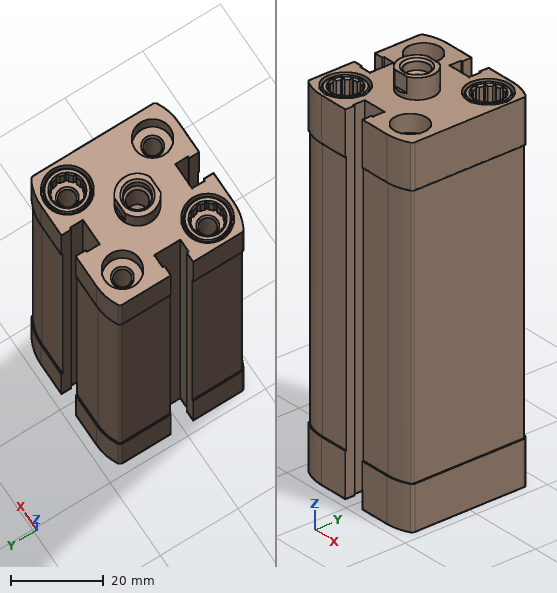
import cadquery as cq
import math

side = 35.5
total_height = 102.5
housing_height = 97.0
cap_height = 12.0
tube_inset = 0.3

arc_radius = 13.1
arc_start_x = 11.1
blend_radius = 1.0

slot_mouth_width = 5.7
slot_inner_width = 6.7
slot_lip_depth = 2.6
slot_depth = 5.8
slot_angles = (90, 180, 270)

hole_offset = 11.0
hole_diameter = 4.1
hole_mouth_diameter = 5.0
counterbore_diameter = 9.0
counterbore_depth = 4.7

recess_diameter = 11.5
recess_depth = counterbore_depth
head_diameter = 10.5
head_top_diameter = 9.8
head_drop = 0.2
head_chamfer_height = 0.4
socket_mouth_diameter = 8.3
socket_diameter = 7.5
socket_chamfer_height = 0.5
socket_depth = 4.5
square_count = 3

rod_diameter = 10.0
rod_seat_depth = cap_height
flat_to_flat = 9.1
flat_height = 4.1
ledge_slope_angle = 30.0
bore_mouth_diameter = 7.5
bore_diameter = 6.4
bore_depth = 2.8
thread_bore_diameter = 5.0
thread_bore_depth = 12.3
drill_tip_angle = 118.0


def disc(diameter, bottom, top, x=0.0, y=0.0):
    return cq.Workplane("XY", origin=(x, y, bottom)).circle(diameter / 2).extrude(top - bottom)


def cone(bottom_diameter, top_diameter, bottom, top, x=0.0, y=0.0):
    solid = cq.Solid.makeCone(bottom_diameter / 2, top_diameter / 2, top - bottom, pnt=cq.Vector(x, y, bottom))
    return cq.Workplane(obj=solid)


def outline_prism(inset, bottom, top):
    """Square bar with broadly rounded corners, every side moved inwards by the inset."""
    half = side / 2 - inset
    radius = arc_radius - inset
    centre_y = half - radius
    reach = half - arc_start_x
    arc_end_y = centre_y + math.sqrt(radius**2 - reach**2)
    mid_angle = (math.pi / 2 + math.asin((arc_end_y - centre_y) / radius)) / 2
    mid_x = arc_start_x + radius * math.cos(mid_angle)
    mid_y = centre_y + radius * math.sin(mid_angle)
    return (
        cq.Workplane("XY", origin=(0, 0, bottom))
        .moveTo(-arc_start_x, half)
        .lineTo(arc_start_x, half)
        .threePointArc((mid_x, mid_y), (half, arc_end_y))
        .lineTo(half, -arc_end_y)
        .threePointArc((mid_x, -mid_y), (arc_start_x, -half))
        .lineTo(-arc_start_x, -half)
        .threePointArc((-mid_x, -mid_y), (-half, -arc_end_y))
        .lineTo(-half, arc_end_y)
        .threePointArc((-mid_x, mid_y), (-arc_start_x, half))
        .close()
        .extrude(top - bottom)
        .edges("|Z")
        .edges("<X or >X")
        .fillet(blend_radius - inset)
    )


def slot_cutter(angle):
    """T-slot along the full housing, on the side that faces the given angle from +X."""
    outer_x = side / 2
    lip_x = outer_x - slot_lip_depth
    floor_x = outer_x - slot_depth
    half_profile = [
        (outer_x, slot_mouth_width / 2),
        (lip_x, slot_mouth_width / 2),
        (lip_x, slot_inner_width / 2),
        (floor_x, slot_inner_width / 2),
    ]
    mirrored = [(x, -y) for x, y in reversed(half_profile)]
    cutter = cq.Workplane("XY").polyline(half_profile + mirrored).close().extrude(housing_height)
    return cutter.rotate((0, 0, 0), (0, 0, 1), angle)


def through_hole_cutter(x, y, start_z):
    """Hole from the bottom face up to start_z, where it opens in a countersink."""
    mouth_depth = (hole_mouth_diameter - hole_diameter) / 2
    mouth = cone(hole_diameter, hole_mouth_diameter, start_z - mouth_depth, start_z, x, y)
    return disc(hole_diameter, 0, start_z, x, y).union(mouth)


def counterbored_cutter(x, y):
    floor_z = housing_height - counterbore_depth
    return through_hole_cutter(x, y, floor_z).union(disc(counterbore_diameter, floor_z, housing_height, x, y))


def socket_cutter(x, y, top_z):
    """Chamfered twelve-point socket: a round bore with V-grooves at the corners of the squares."""
    floor_z = top_z - socket_depth
    chamfer_z = top_z - socket_chamfer_height
    cutter = disc(socket_diameter, floor_z, top_z, x, y).union(
        cone(socket_diameter, socket_mouth_diameter, chamfer_z, top_z, x, y)
    )
    for index in range(square_count):
        square = (
            cq.Workplane("XY", origin=(x, y, floor_z))
            .transformed(rotate=(0, 0, index * 90 / square_count))
            .polygon(4, socket_mouth_diameter)
            .extrude(socket_depth)
        )
        cutter = cutter.union(square)
    return cutter


def screw_cutter(x, y):
    """Ring-shaped gap around a screw head that is one piece with the housing, and its socket."""
    head_top = housing_height - head_drop
    head_shoulder = head_top - head_chamfer_height
    recess_floor = housing_height - recess_depth
    head = disc(head_diameter, recess_floor, head_shoulder, x, y).union(
        cone(head_diameter, head_top_diameter, head_shoulder, head_top, x, y)
    )
    return (
        disc(recess_diameter, recess_floor, housing_height, x, y)
        .cut(head)
        .union(socket_cutter(x, y, head_top))
        .union(through_hole_cutter(x, y, head_top - socket_depth))
    )


def make_housing():
    upper = housing_height - cap_height
    body = (
        outline_prism(0, 0, cap_height)
        .union(outline_prism(tube_inset, cap_height, upper))
        .union(outline_prism(0, upper, housing_height))
    )
    for angle in slot_angles:
        body = body.cut(slot_cutter(angle))
    for sign in (-1, 1):
        body = body.cut(counterbored_cutter(sign * hole_offset, -sign * hole_offset))
        body = body.cut(screw_cutter(sign * hole_offset, sign * hole_offset))
    return body.cut(disc(rod_diameter, housing_height - rod_seat_depth, housing_height))


def flat_cutter():
    """Wrench flat on the +Y side of the rod, ending in a sloping ledge."""
    flat_y = flat_to_flat / 2
    outer_y = flat_y + rod_diameter / 2
    ledge_z = total_height - flat_height
    ledge_drop = (outer_y - flat_y) * math.tan(math.radians(ledge_slope_angle))
    profile = [
        (flat_y, total_height),
        (flat_y, ledge_z),
        (outer_y, ledge_z - ledge_drop),
        (outer_y, total_height),
    ]
    return cq.Workplane("YZ").polyline(profile).close().extrude(rod_diameter / 2, both=True)


def make_rod():
    rod = disc(rod_diameter, housing_height - rod_seat_depth, total_height)
    for side_angle in (0, 180):
        rod = rod.cut(flat_cutter().rotate((0, 0, 0), (0, 0, 1), side_angle))
    mouth_depth = (bore_mouth_diameter - bore_diameter) / 2
    step_depth = (bore_diameter - thread_bore_diameter) / 2
    bore_floor = total_height - bore_depth
    thread_floor = total_height - thread_bore_depth
    tip_height = thread_bore_diameter / 2 / math.tan(math.radians(drill_tip_angle / 2))
    return (
        rod.cut(cone(bore_diameter, bore_mouth_diameter, total_height - mouth_depth, total_height))
        .cut(disc(bore_diameter, bore_floor, total_height))
        .cut(cone(thread_bore_diameter, bore_diameter, bore_floor - step_depth, bore_floor))
        .cut(disc(thread_bore_diameter, thread_floor, bore_floor))
        .cut(cone(0, thread_bore_diameter, thread_floor - tip_height, thread_floor))
    )


housing = make_housing()
rod = make_rod()
result = cq.Compound.makeCompound([housing.solids().val(), rod.solids().val()])